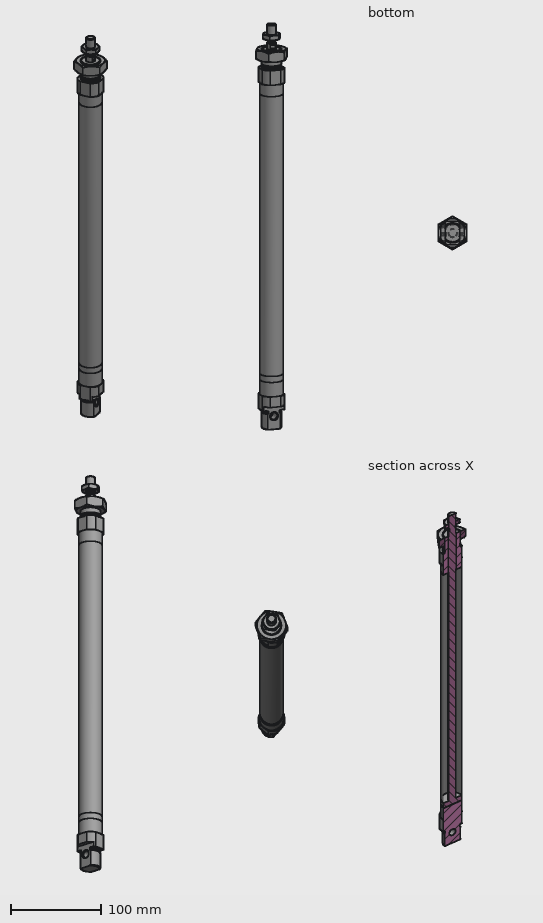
import cadquery as cq
import math

total_length = 461.5
thread_chamfer = 1.0

groove_depth = 1.0
groove_height = 3.5

tube_diameter = 26.5
bore_diameter = 25.0
bore_bottom = 55.0
bore_top = 381.5
cap_diameter = 29.0
cap_width = tube_diameter
front_cap_bottom = 395.0
front_cap_top = 411.5
rear_cap_shoulder = 26.8
rear_cap_top = 38.8

collar_diameter = 22.0
collar_top = 433.5
collar_groove_bottom = 412.5
eye_diameter = collar_diameter
eye_thickness = 16.0
eye_top = 18.0
rear_cap_bottom = eye_top + groove_height
pin_hole_diameter = 8.0
pin_hole_chamfer = 1.0
pin_hole_height = 15.0

rod_diameter = 10.0
piston_height = 7.0
rod_groove_bottom = 440.0
wrench_flat_width = 8.0
wrench_flat_bottom = 434.7
wrench_flat_top = 438.5

collar_nut_width = 32.0
collar_nut_height = 11.5
collar_nut_bottom = collar_top - collar_nut_height
rod_nut_width = 18.0
rod_nut_height = 5.5
rod_nut_bottom = 445.0
nut_chamfer_angle = 30.0
hexagon_half_angle = 30.0


def cylinder(diameter, bottom, top):
    """Upright cylinder on the Z axis."""
    return cq.Workplane("XY").workplane(offset=bottom).circle(diameter / 2).extrude(top - bottom)


def block(x_width, y_width, bottom, top):
    """Upright block centred on the Z axis."""
    return cq.Workplane("XY").workplane(offset=bottom).rect(x_width, y_width).extrude(top - bottom)


def make_cap(bottom, top):
    """Round end cap with four flats."""
    return cylinder(cap_diameter, bottom, top).intersect(block(cap_width, cap_width, bottom, top))


def groove_cutter(outer_diameter, bottom):
    """Ring of material to remove for a runout groove whose sides slope at 45 degrees."""
    top = bottom + groove_height
    outer_radius = outer_diameter / 2
    inner_radius = outer_radius - groove_depth
    profile = [
        (outer_radius, bottom),
        (inner_radius, bottom + groove_depth),
        (inner_radius, top - groove_depth),
        (outer_radius, top),
    ]
    return cq.Workplane("XZ").polyline(profile).close().revolve(360, (0, 0), (0, 1))


def make_collar():
    """Front collar with a chamfered end and a groove just above the cap."""
    collar = cylinder(collar_diameter, front_cap_top, collar_top).faces(">Z").chamfer(thread_chamfer)
    return collar.cut(groove_cutter(collar_diameter, collar_groove_bottom))


def make_eye():
    """Flattened rear end: lower part of the cap, groove and chamfered eye with a cross hole."""
    cap_part = make_cap(rear_cap_bottom, rear_cap_shoulder)
    tip = cylinder(eye_diameter, 0, rear_cap_bottom).faces("<Z").chamfer(thread_chamfer)
    tip = tip.cut(groove_cutter(eye_diameter, eye_top))
    flat_limits = block(eye_thickness, cap_width, 0, rear_cap_shoulder)
    eye = cap_part.union(tip).intersect(flat_limits)

    half_thickness = eye_thickness / 2
    hole_radius = pin_hole_diameter / 2
    mouth_radius = hole_radius + pin_hole_chamfer
    half_profile = [
        (-half_thickness, 0),
        (-half_thickness, mouth_radius),
        (-half_thickness + pin_hole_chamfer, hole_radius),
        (half_thickness - pin_hole_chamfer, hole_radius),
        (half_thickness, mouth_radius),
        (half_thickness, 0),
    ]
    pin_hole = cq.Workplane("XZ").polyline(half_profile).close().revolve(360, (0, 0), (1, 0))
    pin_hole = pin_hole.translate((0, 0, pin_hole_height))
    return eye.cut(pin_hole)


def make_housing():
    housing = cylinder(tube_diameter, rear_cap_top, front_cap_bottom)
    housing = housing.union(make_cap(front_cap_bottom, front_cap_top)).union(make_collar())
    housing = housing.union(make_cap(rear_cap_shoulder, rear_cap_top)).union(make_eye())
    piston_bore = cylinder(bore_diameter, bore_bottom, bore_top)
    rod_guide = cylinder(rod_diameter, bore_top, collar_top)
    return housing.cut(piston_bore).cut(rod_guide)


def make_piston_rod():
    """Retracted rod with its piston, wrench flats and a groove below the thread."""
    rod = cylinder(rod_diameter, bore_bottom, total_length).faces(">Z").chamfer(thread_chamfer)
    piston = cylinder(bore_diameter, bore_bottom, bore_bottom + piston_height)
    flat_band = cylinder(rod_diameter, wrench_flat_bottom, wrench_flat_top)
    flat_core = block(wrench_flat_width, rod_diameter, wrench_flat_bottom, wrench_flat_top)
    flat_cuts = flat_band.cut(flat_core)
    return rod.union(piston).cut(flat_cuts).cut(groove_cutter(rod_diameter, rod_groove_bottom))


def make_nut(width, height, bottom, hole_diameter):
    """Hexagon nut with two flats facing X and its corners chamfered at both ends."""
    corner_diameter = width / math.cos(math.radians(hexagon_half_angle))
    chamfer_depth = (corner_diameter - width) / 2
    chamfer_height = chamfer_depth * math.tan(math.radians(nut_chamfer_angle))
    top = bottom + height
    hexagon = (
        cq.Workplane("XY")
        .polygon(6, corner_diameter)
        .extrude(height)
        .rotate((0, 0, 0), (0, 0, 1), hexagon_half_angle)
        .translate((0, 0, bottom))
    )
    corner_limits = (
        cylinder(corner_diameter, bottom, top).faces("<Z or >Z").chamfer(chamfer_height, chamfer_depth)
    )
    return hexagon.intersect(corner_limits).cut(cylinder(hole_diameter, bottom, top))


housing = make_housing()
piston_rod = make_piston_rod()
collar_nut = make_nut(collar_nut_width, collar_nut_height, collar_nut_bottom, collar_diameter)
rod_nut = make_nut(rod_nut_width, rod_nut_height, rod_nut_bottom, rod_diameter)

bodies = [housing, piston_rod, collar_nut, rod_nut]
result = cq.Compound.makeCompound([body.solids().val() for body in bodies])